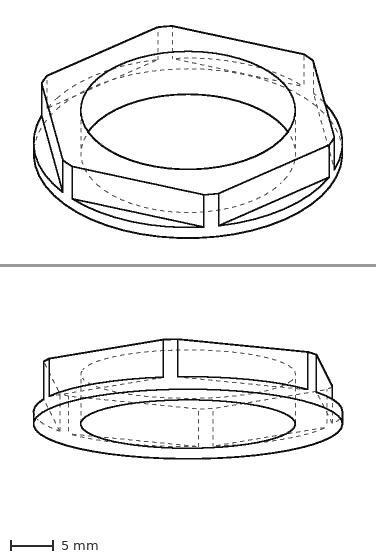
import cadquery as cq
import math

flange_diameter = 36.0
bore_diameter = 25.0
across_flats = 32.0
total_height = 6.0
flange_height = 1.5

hex_side_count = 6
hex_height = total_height - flange_height
across_corners = across_flats / math.cos(math.pi / hex_side_count)
flat_to_x_axis_angle = 180.0 / hex_side_count


def make_cylinder(diameter, height):
    """Upright cylinder on the Z axis, standing on the base plane."""
    return cq.Workplane("XY").circle(diameter / 2).extrude(height)


def make_rounded_hex():
    """Hexagon above the flange, flats facing +X and -X, corners rounded to the flange diameter."""
    hex_prism = (
        cq.Workplane("XY")
        .workplane(offset=flange_height)
        .polygon(hex_side_count, across_corners)
        .extrude(hex_height)
        .rotate((0, 0, 0), (0, 0, 1), flat_to_x_axis_angle)
    )
    return hex_prism.intersect(make_cylinder(flange_diameter, total_height))


flange = make_cylinder(flange_diameter, flange_height)
bore = make_cylinder(bore_diameter, total_height)
result = flange.union(make_rounded_hex()).cut(bore)